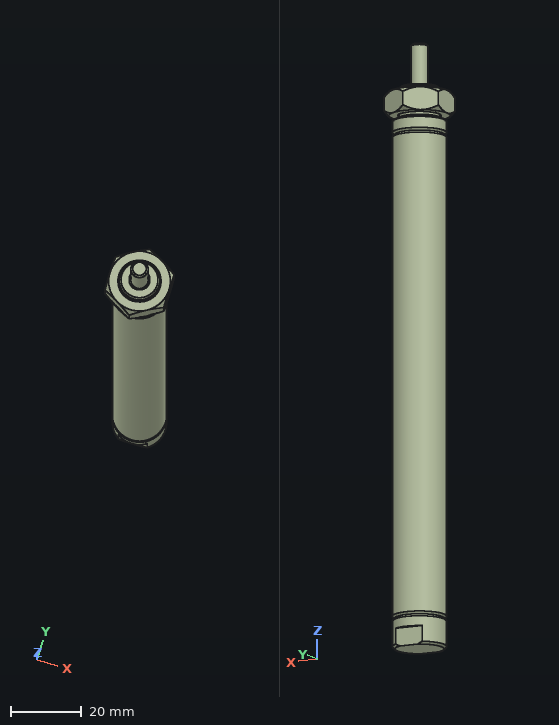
import cadquery as cq
import math

total_length = 175.0

body_radius = 7.7
body_top = 153.0
front_chamfer = 0.4
rear_chamfer = 0.7
front_groove_bottom = 148.0
front_groove_top = 149.5
rear_groove_bottom = 8.0
rear_groove_top = 9.5
groove_depth = 0.5

flat_height = 5.3
flat_spacing = 12.8

thread_radius = 5.8
thread_top = 162.5
thread_chamfer = 0.5
undercut_radius = 5.0
undercut_height = 0.7

nut_across_flats = 17.5
nut_bottom = 154.4
nut_height = 6.7
nut_countersink = 0.4

rod_radius = 2.5
rod_depth = 17.5
rod_chamfer = 0.5
bore_mouth_radius = 3.0
rod_bottom = thread_top - rod_depth


def cylinder(radius, bottom, top):
    """Cylinder on the Z axis between two heights."""
    return cq.Workplane("XY").workplane(offset=bottom).circle(radius).extrude(top - bottom)


def groove_ring(bottom, top):
    """Ring with a triangular section that cuts a V groove around the body."""
    return (
        cq.Workplane("XZ")
        .moveTo(body_radius, bottom)
        .lineTo(body_radius - groove_depth, (bottom + top) / 2)
        .lineTo(body_radius, top)
        .close()
        .revolve(360, (0, 0, 0), (0, 1, 0))
    )


def wrench_flats():
    """Two blocks that leave parallel flats on the front and back of the rear cap."""
    cut_depth = body_radius
    cut_centre = (flat_spacing + cut_depth) / 2
    return (
        cq.Workplane("XY")
        .pushPoints([(0, -cut_centre), (0, cut_centre)])
        .rect(2 * body_radius, cut_depth)
        .extrude(flat_height)
    )


def make_neck():
    """Threaded neck, chamfered at the tip with a plain undercut at its foot."""
    undercut_top = body_top + undercut_height
    return (
        cq.Workplane("XZ")
        .moveTo(0, body_top)
        .lineTo(undercut_radius, body_top)
        .lineTo(undercut_radius, undercut_top)
        .lineTo(thread_radius, undercut_top)
        .lineTo(thread_radius, thread_top - thread_chamfer)
        .lineTo(thread_radius - thread_chamfer, thread_top)
        .lineTo(0, thread_top)
        .close()
        .revolve(360, (0, 0, 0), (0, 1, 0))
    )


def make_housing():
    """Cylinder body with its neck, grooves, flats and rod bore."""
    housing = cylinder(body_radius, 0, body_top)
    housing = housing.faces(">Z").chamfer(front_chamfer).faces("<Z").chamfer(rear_chamfer)
    housing = housing.union(make_neck())
    housing = housing.cut(groove_ring(front_groove_bottom, front_groove_top))
    housing = housing.cut(groove_ring(rear_groove_bottom, rear_groove_top))
    housing = housing.cut(wrench_flats())
    housing = housing.cut(cylinder(rod_radius, rod_bottom, thread_top))
    bore_edge = housing.faces(">Z").edges(cq.selectors.RadiusNthSelector(0))
    return bore_edge.chamfer(bore_mouth_radius - rod_radius)


def make_nut():
    """Hexagon nut with corners on the Y axis, chamfered and countersunk on both faces."""
    corner_radius = nut_across_flats / 2 / math.cos(math.pi / 6)
    face_radius = nut_across_flats / 2
    hexagon = (
        cq.Workplane("XY")
        .workplane(offset=nut_bottom)
        .polygon(6, 2 * corner_radius)
        .extrude(nut_height)
        .rotate((0, 0, 0), (0, 0, 1), 90)
    )
    nut_top = nut_bottom + nut_height
    envelope = cylinder(corner_radius, nut_bottom, nut_top)
    envelope = envelope.faces("<Z or >Z").chamfer(corner_radius - face_radius)
    nut = hexagon.intersect(envelope).cut(cylinder(thread_radius, nut_bottom, nut_top))
    hole_edges = nut.edges("%CIRCLE").edges(cq.selectors.RadiusNthSelector(0))
    return hole_edges.chamfer(nut_countersink)


def make_rod():
    """Round piston rod with a chamfered free end."""
    return cylinder(rod_radius, rod_bottom, total_length).faces(">Z").chamfer(rod_chamfer)


housing = make_housing()
nut = make_nut()
rod = make_rod()

result = cq.Compound.makeCompound([housing.val(), nut.val(), rod.val()])